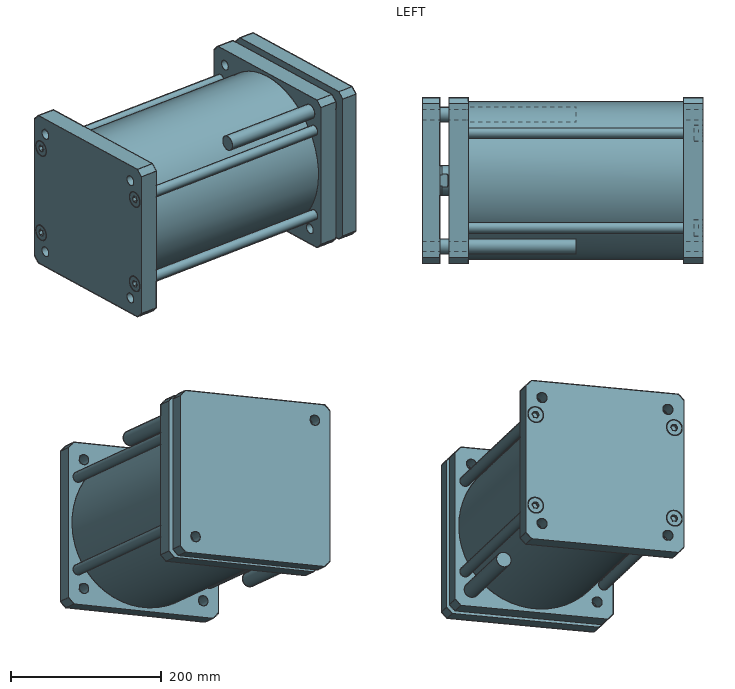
import cadquery as cq
import math

overall_length = 372.0
plate_width = 220.0
corner_circle_diameter = 300.0
base_thickness = 26.0
head_thickness = 26.0
end_thickness = 23.0
end_gap = 12.0

end_plate_y = overall_length - end_thickness
head_face_y = end_plate_y - end_gap
head_plate_y = head_face_y - head_thickness

barrel_diameter = 210.0

tie_rod_diameter = 14.0
tie_rod_x = 96.5
tie_rod_z = 63.0
counterbore_diameter = 22.0
screw_head_diameter = 21.0
screw_head_height = 12.0
socket_across_flats = 8.0
socket_depth = 6.0

guide_offset = 87.5
guide_diameter = 20.0
guide_start_y = 168.5
guide_hole_diameter = 13.8

piston_rod_diameter = 40.0
piston_rod_end_diameter = 39.5
piston_rod_end_length = 2.5
wrench_width = 36.5
wrench_length = 9.3
wrench_runout_radius = 2.0


def cylinder(x, z, diameter, start_y, end_y):
    """Solid cylinder along Y, centred at (x, z)."""
    direction = cq.Vector(0, 1, 0)
    return cq.Workplane(
        cq.Solid.makeCylinder(diameter / 2, end_y - start_y, cq.Vector(x, start_y, z), direction)
    )


def block(width, start_y, end_y, height):
    """Box centred on the Y axis."""
    length = end_y - start_y
    return cq.Workplane().box(width, length, height).translate((0, start_y + length / 2, 0))


def plate(start_y, end_y):
    """Square plate with its corners turned to the corner circle."""
    disc = cylinder(0, 0, corner_circle_diameter, start_y, end_y)
    return block(plate_width, start_y, end_y, plate_width).intersect(disc)


def wrench_flat_cutter():
    """Block that cuts the +X wrench flat, with a rounded run-out at the head plate end."""
    flat_x = wrench_width / 2
    start_y = end_plate_y - wrench_length - wrench_runout_radius
    cutter = cq.Workplane().box(
        piston_rod_diameter / 2, end_plate_y - start_y, piston_rod_diameter, centered=(False, False, True)
    )
    return cutter.edges("|Z and <X and <Y").fillet(wrench_runout_radius).translate((flat_x, start_y, 0))


def piston_rod():
    """Piston rod section between the head plate and the end plate."""
    shoulder_y = end_plate_y - piston_rod_end_length
    rod = cylinder(0, 0, piston_rod_diameter, head_face_y, shoulder_y)
    rod = rod.union(cylinder(0, 0, piston_rod_end_diameter, shoulder_y, end_plate_y))
    cutter = wrench_flat_cutter()
    return rod.cut(cutter).cut(cutter.mirror("YZ"))


def socket(x, z):
    """Hexagonal key socket with two corners pointing along X."""
    across_corners = socket_across_flats / math.cos(math.pi / 6)
    hexagon = cq.Workplane("XZ", origin=(x, 0, z)).polygon(6, across_corners)
    return hexagon.extrude(-socket_depth)


result = plate(0, base_thickness)
result = result.union(cylinder(0, 0, barrel_diameter, base_thickness, head_plate_y))
result = result.union(plate(head_plate_y, head_face_y))
result = result.union(piston_rod())
result = result.union(plate(end_plate_y, overall_length))

for x in (-tie_rod_x, tie_rod_x):
    for z in (-tie_rod_z, tie_rod_z):
        result = result.union(cylinder(x, z, tie_rod_diameter, base_thickness, head_plate_y))
        counterbore = cylinder(x, z, counterbore_diameter, 0, screw_head_height)
        screw_head = cylinder(x, z, screw_head_diameter, 0, screw_head_height)
        result = result.cut(counterbore.cut(screw_head)).cut(socket(x, z))

for x in (-guide_offset, guide_offset):
    for z in (-guide_offset, guide_offset):
        result = result.cut(cylinder(x, z, guide_hole_diameter, 0, base_thickness))

for side in (-1, 1):
    x = side * guide_offset
    result = result.union(cylinder(x, x, guide_diameter, guide_start_y, end_plate_y))
    result = result.cut(cylinder(x, -x, guide_hole_diameter, head_plate_y, overall_length))